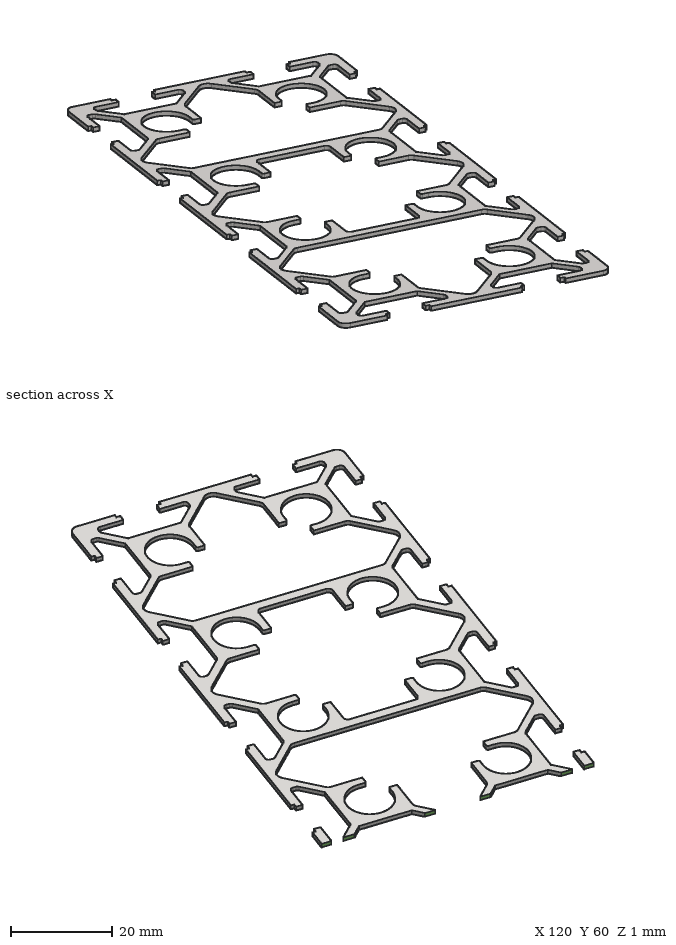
import cadquery as cq

pitch = 30.0
columns = 4
rows = 2
length = columns * pitch
width = rows * pitch
thickness = 1.0
corner_radius = 1.8

slot_opening = 8.0
slot_step_width = 9.7
slot_step_depth = 0.7
lip_thickness = 2.2
slot_inner_width = 19.8
slot_floor_width = 11.6
slot_depth = 7.9
slot_fillet = 0.7

bore_radius = 5.0
finger_thickness = 1.8
finger_reach = 1.7
finger_tip_fillet = 0.4

end_peak_inset = 1.1
middle_peak_inset = 1.5
peak_fillet = 1.9
cavity_fillet = 1.5
box_fillet = 1.0
web_thickness = 2.2

finger_outer = bore_radius + finger_thickness
cavity_half = pitch / 2 - finger_outer
cell_x = [(i - (columns - 1) / 2) * pitch for i in range(columns)]
cell_y = [(i - (rows - 1) / 2) * pitch for i in range(rows)]
box_half_length = pitch / 2 + bore_radius
web_outer_x = box_half_length + web_thickness


def prism(points):
    return cq.Workplane("XY").polyline(points).close().extrude(thickness)


def block(x_min, x_max, y_min, y_max):
    return prism([(x_min, y_min), (x_max, y_min), (x_max, y_max), (x_min, y_max)])


def t_slot():
    """T-slot opening toward +Y, with the outer face at Y = 0."""
    half_step = slot_step_width / 2
    half_inner = slot_inner_width / 2
    half_floor = slot_floor_width / 2
    shoulder_depth = slot_depth - (half_inner - half_floor)
    step = block(-half_step, half_step, -slot_step_depth, 0)
    mouth = block(-slot_opening / 2, slot_opening / 2, -slot_depth, 0)
    pocket = prism([
        (-half_inner, -lip_thickness),
        (half_inner, -lip_thickness),
        (half_inner, -shoulder_depth),
        (half_floor, -slot_depth),
        (-half_floor, -slot_depth),
        (-half_inner, -shoulder_depth),
    ])
    pocket = pocket.edges("|Z and (<X or >X)").fillet(slot_fillet)
    return pocket.union(mouth).union(step)


def two_peak_cavity(left, right, peak_inset):
    """Cavity across the full width, with a peak on X = 0 at each end."""
    peak = width / 2 - peak_inset
    cavity = prism([
        (0, peak),
        (right, peak - right),
        (right, right - peak),
        (0, -peak),
        (-left, left - peak),
        (-left, peak - left),
    ])
    cavity = cavity.edges("|Z and (<X or >X)").fillet(cavity_fillet)
    return cavity.edges("|Z and (<Y or >Y)").fillet(peak_fillet)


def end_peak_cavity():
    """Cavity with one peak toward the -X face, ending inside the two-peak cavity."""
    peak = end_peak_inset - length / 2
    shoulder = peak + cavity_half
    end = -pitch
    cavity = prism([
        (peak, 0),
        (shoulder, -cavity_half),
        (end, -cavity_half),
        (end, cavity_half),
        (shoulder, cavity_half),
    ])
    for y in (-cavity_half, cavity_half):
        bend = cq.selectors.NearestToPointSelector((shoulder, y, thickness / 2))
        cavity = cavity.edges("|Z").edges(bend).fillet(cavity_fillet)
    return cavity.edges("|Z and <X").fillet(peak_fillet)


def finger_bore():
    """Bore at the origin, open toward +X +Y between two finger tips."""
    bore = cq.Workplane("XY").circle(bore_radius).extrude(thickness)
    straight_sides = block(0, bore_radius, 0, bore_radius)
    opening = block(finger_reach, finger_outer, finger_reach, finger_outer)
    cutter = bore.union(straight_sides).union(opening)
    for x, y in [(bore_radius, finger_reach), (finger_reach, bore_radius)]:
        tip = cq.selectors.NearestToPointSelector((x, y, thickness / 2))
        cutter = cutter.edges("|Z").edges(tip).fillet(finger_tip_fillet)
    return cutter


result = (
    cq.Workplane("XY")
    .box(length, width, thickness, centered=(True, True, False))
    .edges("|Z")
    .fillet(corner_radius)
)

end_cavity = two_peak_cavity(cavity_half, pitch - web_outer_x, end_peak_inset)
end_cavity = end_cavity.translate((-pitch, 0, 0)).union(end_peak_cavity())
box = block(-box_half_length, box_half_length, -cavity_half, cavity_half)
box = box.edges("|Z").fillet(box_fillet)
middle_cavity = two_peak_cavity(cavity_half, cavity_half, middle_peak_inset).union(box)
result = result.cut(end_cavity).cut(end_cavity.mirror("YZ")).cut(middle_cavity)

for x in cell_x:
    result = result.cut(t_slot().translate((x, width / 2, 0)))
    result = result.cut(t_slot().mirror("XZ").translate((x, -width / 2, 0)))
for y in cell_y:
    for angle, face_x in [(90, -length / 2), (-90, length / 2)]:
        slot = t_slot().rotate((0, 0, 0), (0, 0, 1), angle)
        result = result.cut(slot.translate((face_x, y, 0)))

for x in cell_x:
    for y in cell_y:
        bore = finger_bore()
        if x > 0:
            bore = bore.mirror("YZ")
        if y > 0:
            bore = bore.mirror("XZ")
        result = result.cut(bore.translate((x, y, 0)))